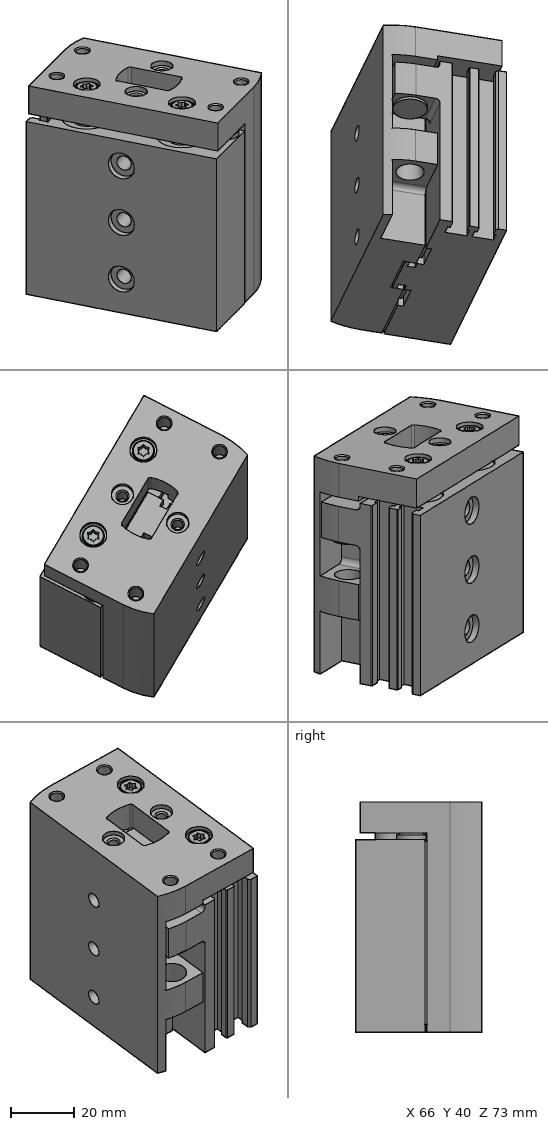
import cadquery as cq
import math


total_height = 73.0
total_depth = 40.0

housing_width = 66.0
housing_height = 61.0
housing_depth = 22.0
recess_half_width = 16.5
recess_floor_y = 20.15

slot_mouths = [(3.4, 8.75), (12.1, 17.7)]
slot_lip_depth = 3.4
slot_undercut = 0.8
slot_depth = 6.35
slot_edge_break = 0.3
front_slot_edge_break = 0.7
rib_recess = 0.9

mount_pitch = 20.0
mount_middle_z = 32.0
mount_hole_diameter = 5.0
mount_head_diameter = 9.0
mount_head_depth = 2.2

rail_half_width = 7.5
rail_bottom_y = 16.8
rail_top_y = 26.3
rail_height = 64.3
race_floor_x = 5.25
race_y = (22.35, 24.8)

carriage_half_width = 32.8
carriage_back_half_width = 30.8
curve_start_y = 29.85
curve_middle_offset = 0.5
plate_front_y = 1.45
plate_bottom_z = 63.15
step_y = 22.6
groove_floor_y = 26.9

web_x = -17.95
pocket_top_z = 61.6
back_plate_front_y = 37.2
stop_bottom_z = 21.25
stop_top_z = 33.3
pocket_fillet = 2.0

runner_half_width = 16.0
runner_front_y = 20.7
runner_bottom_z = 2.5
runner_top_z = 60.6

lug_inner_x = -21.2
lug_back_y = 36.5
lug_bottom_z = 46.5
lug_top_z = 58.55
lug_root_fillet = 1.5
stop_axis_x = -26.35
stop_axis_y = 29.9
stop_pad_diameter = 11.0
stop_pad_height = 0.95
stop_hole_diameter = 9.0

rod_x = 16.5
rod_y = 10.2
rod_diameter = 8.1
cylinder_bore_diameter = 16.0
cylinder_bore_depth = 1.0

bumper_x = 27.8
bumper_y = 17.7
bumper_diameter = 9.5
bumper_shoulder_z = 62.5
bumper_tip_diameter = 6.8

plate_hole_rows_y = (11.7, 31.7)
corner_hole_x = 27.5
corner_hole_diameter = 4.15
corner_hole_mouth = 5.0
centre_hole_diameter = 3.2
centre_hole_mouth = 4.15
centre_bore_diameter = 7.0
centre_bore_depth = 1.6
plate_hole_depth = 8.0

screw_bore_diameter = 8.5
screw_bore_depth = 1.3
screw_head_diameter = 7.0
screw_head_height = 0.6
screw_head_chamfer = 0.3
drive_outer_radius = 2.05
drive_inner_radius = 1.45
drive_depth = 2.0
drive_lobes = 6

window_y = (16.2, 26.95)
window_corner_half_width = 9.1
window_middle_half_width = 10.1
window_corner_radius = 0.9


def box(x_range, y_range, z_range):
    """Box between the given limits on each axis."""
    size = [high - low for low, high in (x_range, y_range, z_range)]
    corner = (x_range[0], y_range[0], z_range[0])
    return cq.Workplane("XY").box(*size, centered=False).translate(corner)


def cylinder(x, y, diameter, bottom_z, top_z):
    """Upright cylinder."""
    base = cq.Workplane("XY", origin=(x, y, bottom_z))
    return base.circle(diameter / 2).extrude(top_z - bottom_z)


def both_sides(half_range):
    """The X range and its mirror image."""
    low, high = half_range
    return [(low, high), (-high, -low)]


def rounded_back_block(half_width, front_y, bottom_z, top_z):
    """Block across the full width whose sides curve inwards towards the back face."""
    narrowing = carriage_half_width - carriage_back_half_width
    back_half_width = half_width - narrowing
    middle = (half_width - curve_middle_offset, (curve_start_y + total_depth) / 2)
    return (
        cq.Workplane("XY", origin=(0, 0, bottom_z))
        .moveTo(-half_width, front_y)
        .lineTo(half_width, front_y)
        .lineTo(half_width, curve_start_y)
        .threePointArc(middle, (back_half_width, total_depth))
        .lineTo(-back_half_width, total_depth)
        .threePointArc((-middle[0], middle[1]), (-half_width, curve_start_y))
        .close()
        .extrude(top_z - bottom_z)
    )


def mount_holes(diameter, depth):
    """Row of three holes running back from the front face."""
    rows_z = [mount_middle_z + step * mount_pitch for step in (-1, 0, 1)]
    front = cq.Workplane("XZ").pushPoints([(0, z) for z in rows_z])
    return front.circle(diameter / 2).extrude(-depth)


def sensor_slot_points(mouth_y, front_x, back_x, front_break):
    """Points around a T-slot whose mouth edges lie at front_x and back_x and are slightly broken."""
    front, back = mouth_y
    lip_x = slot_lip_depth - housing_width / 2
    floor_x = slot_depth - housing_width / 2
    return [
        (front_x, front - front_break),
        (front_x + front_break, front),
        (lip_x, front),
        (lip_x, front - slot_undercut),
        (floor_x, front - slot_undercut),
        (floor_x, back + slot_undercut),
        (lip_x, back + slot_undercut),
        (lip_x, back),
        (back_x + slot_edge_break, back),
        (back_x, back + slot_edge_break),
    ]


def side_slots():
    """Both T-slots of the -X side, with the rib between them set back from the side face."""
    side_x = -housing_width / 2
    rib_x = side_x + rib_recess
    front_slot, back_slot = slot_mouths
    outline = sensor_slot_points(front_slot, side_x, rib_x, front_slot_edge_break)
    outline += sensor_slot_points(back_slot, rib_x, side_x, slot_edge_break)
    return cq.Workplane("XY").polyline(outline).close().extrude(housing_height)


def make_lug():
    """Stop lug that reaches back from the housing into the carriage pocket."""
    blend_y = housing_depth + lug_root_fillet
    diagonal = lug_root_fillet * (1 - math.sqrt(0.5))
    profile = (
        cq.Workplane("YZ", origin=(-housing_width / 2, 0, 0))
        .moveTo(housing_depth, lug_bottom_z - lug_root_fillet)
        .threePointArc((housing_depth + diagonal, lug_bottom_z - diagonal), (blend_y, lug_bottom_z))
        .lineTo(lug_back_y, lug_bottom_z)
        .lineTo(lug_back_y, lug_top_z)
        .lineTo(blend_y, lug_top_z)
        .threePointArc(
            (housing_depth + diagonal, lug_top_z + diagonal),
            (housing_depth, lug_top_z + lug_root_fillet),
        )
        .close()
        .extrude(lug_inner_x + housing_width / 2)
    )
    lug = profile.intersect(rounded_back_block(housing_width / 2, 0, 0, housing_height))
    pad_bottom_z = lug_bottom_z - stop_pad_height
    return lug.union(cylinder(stop_axis_x, stop_axis_y, stop_pad_diameter, pad_bottom_z, lug_bottom_z))


def make_rail():
    """Rail with a race groove along each side."""
    rail = box((-rail_half_width, rail_half_width), (rail_bottom_y, rail_top_y), (0, rail_height))
    for x_range in both_sides((race_floor_x, rail_half_width)):
        rail = rail.cut(box(x_range, race_y, (0, rail_height)))
    return rail


def make_bumper():
    """Round bumper with a bevelled top that meets the underside of the top plate."""
    bevel_width = (bumper_diameter - bumper_tip_diameter) / 2
    bevel_height = plate_bottom_z - bumper_shoulder_z
    bumper = cylinder(bumper_x, bumper_y, bumper_diameter, housing_height, plate_bottom_z)
    return bumper.faces(">Z").chamfer(bevel_height, bevel_width)


def make_housing():
    half_width = housing_width / 2
    body = box((-half_width, half_width), (0, housing_depth), (0, housing_height))
    recess_x = (-recess_half_width, recess_half_width)
    body = body.cut(box(recess_x, (recess_floor_y, housing_depth), (0, housing_height)))
    body = body.cut(side_slots())
    for x in (-rod_x, rod_x):
        bore_floor_z = housing_height - cylinder_bore_depth
        body = body.cut(cylinder(x, rod_y, cylinder_bore_diameter, bore_floor_z, housing_height))
    body = body.union(make_rail()).union(make_lug()).union(make_bumper())
    body = body.cut(mount_holes(mount_hole_diameter, total_depth))
    return body.cut(mount_holes(mount_head_diameter, mount_head_depth))


def pocket(bottom_z, top_z, edges):
    """Opening in the -X side of the carriage; the chosen inner edges are rounded."""
    outer_x = -carriage_half_width
    opening = box((outer_x, web_x), (step_y, back_plate_front_y), (bottom_z, top_z))
    return opening.faces(">X").edges(edges).fillet(pocket_fillet)


def make_runner():
    """Runner with tongues that fill the race grooves of the rail."""
    z_range = (runner_bottom_z, runner_top_z)
    runner = None
    for x_range in both_sides((rail_half_width, runner_half_width)):
        half = box(x_range, (runner_front_y, groove_floor_y), z_range)
        runner = half if runner is None else runner.union(half)
    for x_range in both_sides((race_floor_x, rail_half_width)):
        runner = runner.union(box(x_range, race_y, z_range))
    return runner


def make_window():
    """Opening with bowed sides above the runner, which the rail end slides into."""
    front, back = window_y
    corner = window_corner_half_width
    middle = window_middle_half_width
    middle_y = (front + back) / 2
    return (
        cq.Workplane("XY", origin=(0, 0, runner_top_z))
        .moveTo(-corner, front)
        .lineTo(corner, front)
        .threePointArc((middle, middle_y), (corner, back))
        .lineTo(-corner, back)
        .threePointArc((-middle, middle_y), (-corner, front))
        .close()
        .extrude(total_height - runner_top_z)
        .edges("|Z")
        .fillet(window_corner_radius)
    )


def countersunk_hole(x, y, diameter, mouth_diameter, mouth_z):
    """Blind hole in the top plate with a bevelled mouth."""
    bevel_depth = (mouth_diameter - diameter) / 2
    bottom_z = total_height - plate_hole_depth
    profile = [
        (0, bottom_z),
        (diameter / 2, bottom_z),
        (diameter / 2, mouth_z - bevel_depth),
        (mouth_diameter / 2, mouth_z),
        (0, mouth_z),
    ]
    return cq.Workplane("XZ").polyline(profile).close().revolve(360, (0, 0), (0, 1)).translate((x, y, 0))


def drive_recess(x, y, top_z):
    """Six-lobed screw drive."""
    points = []
    for index in range(2 * drive_lobes):
        radius = drive_inner_radius if index % 2 else drive_outer_radius
        angle = math.pi / 2 + index * math.pi / drive_lobes
        points.append((radius * math.cos(angle), radius * math.sin(angle)))
    base = cq.Workplane("XY", origin=(x, y, top_z - drive_depth))
    return base.polyline(points).close().extrude(drive_depth)


def add_rod(carriage, x):
    """Piston rod under the top plate and the sunk screw head above it."""
    bore_floor_z = total_height - screw_bore_depth
    head_top_z = bore_floor_z + screw_head_height
    rod_bottom_z = housing_height - cylinder_bore_depth
    head = cylinder(x, rod_y, screw_head_diameter, bore_floor_z, head_top_z)
    head = head.faces(">Z").chamfer(screw_head_chamfer)
    carriage = carriage.union(cylinder(x, rod_y, rod_diameter, rod_bottom_z, plate_bottom_z))
    carriage = carriage.cut(cylinder(x, rod_y, screw_bore_diameter, bore_floor_z, total_height))
    return carriage.union(head).cut(drive_recess(x, rod_y, head_top_z))


def make_carriage():
    plate = rounded_back_block(carriage_half_width, plate_front_y, plate_bottom_z, total_height)
    web = rounded_back_block(carriage_half_width, step_y, 0, total_height)
    body = plate.union(web)
    body = body.cut(pocket(stop_top_z, pocket_top_z, "|Y"))
    body = body.cut(pocket(0, stop_bottom_z, "|Y and >Z"))
    body = body.cut(cylinder(stop_axis_x, stop_axis_y, stop_hole_diameter, stop_bottom_z, stop_top_z))
    groove_x = (-rail_half_width, rail_half_width)
    body = body.cut(box(groove_x, (step_y, groove_floor_y), (0, runner_top_z)))
    body = body.union(make_runner()).cut(make_window())
    for x in (-rod_x, rod_x):
        body = add_rod(body, x)
    centre_mouth_z = total_height - centre_bore_depth
    for y in plate_hole_rows_y:
        for x in (-corner_hole_x, corner_hole_x):
            body = body.cut(countersunk_hole(x, y, corner_hole_diameter, corner_hole_mouth, total_height))
        body = body.cut(cylinder(0, y, centre_bore_diameter, centre_mouth_z, total_height))
        body = body.cut(countersunk_hole(0, y, centre_hole_diameter, centre_hole_mouth, centre_mouth_z))
    return body.cut(mount_holes(mount_hole_diameter, total_depth))


housing = make_housing()
carriage = make_carriage()

result = cq.Compound.makeCompound([*housing.solids().vals(), *carriage.solids().vals()])